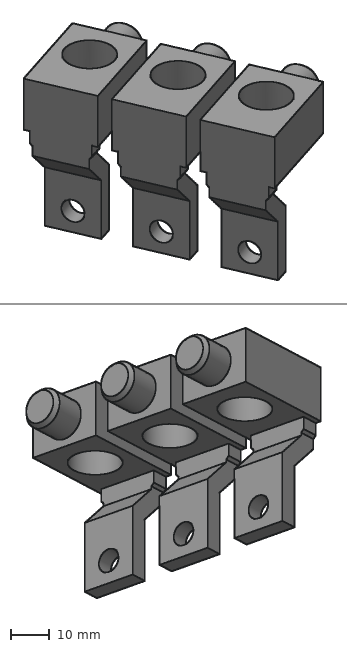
import cadquery as cq
import math

lug_count = 3
overall_width = 71.0
overall_depth = 40.5
overall_height = 47.8

block_width = 21.0
block_depth = 30.45
block_height = 15.4
lug_pitch = (overall_width - block_width) / (lug_count - 1)

wire_hole_diameter = 14.2
wire_hole_y = 18.0

screw_diameter = 11.1
screw_length = overall_depth - block_depth
screw_chamfer_length = 1.35
screw_chamfer_radial = 1.0

tang_thickness = 5.0
tang_width = 16.05
tang_offset = 7.6
tang_length = overall_height - block_height
crank_angle = 45.0
crank_start = 7.2
shoulder_width = 17.6
shoulder_height = 3.5
shoulder_taper_height = 0.85
bolt_hole_diameter = 6.5
bolt_hole_above_end = 6.45


def make_block():
    return cq.Workplane("XY").box(
        block_width, block_depth, block_height, centered=(True, False, False)
    )


def make_screw():
    """Round stub along +Y with a chamfered free end."""
    radius = screw_diameter / 2
    profile = [
        (0, 0),
        (radius, 0),
        (radius, screw_length - screw_chamfer_length),
        (radius - screw_chamfer_radial, screw_length),
        (0, screw_length),
    ]
    screw = cq.Workplane("XY").polyline(profile).close().revolve(360, (0, 0, 0), (0, 1, 0))
    return screw.translate((0, block_depth, block_height / 2))


def make_tang():
    """Cranked strip: its bent side profile trimmed to the stepped front outline, with a bolt hole."""
    crank_drop = tang_offset / math.tan(math.radians(crank_angle))
    bend_shift = tang_thickness * math.tan(math.radians(crank_angle / 2))
    rear_crank_start = crank_start - bend_shift
    side_profile = [
        (0, 0),
        (0, -crank_start),
        (tang_offset, -crank_start - crank_drop),
        (tang_offset, -tang_length),
        (tang_offset + tang_thickness, -tang_length),
        (tang_offset + tang_thickness, -rear_crank_start - crank_drop),
        (tang_thickness, -rear_crank_start),
        (tang_thickness, 0),
    ]
    strip = cq.Workplane("YZ").polyline(side_profile).close().extrude(shoulder_width / 2, both=True)

    taper_end = shoulder_height + shoulder_taper_height
    right_edge = [
        (shoulder_width / 2, 0),
        (shoulder_width / 2, -shoulder_height),
        (tang_width / 2, -taper_end),
        (tang_width / 2, -tang_length),
    ]
    left_edge = [(-x, z) for x, z in reversed(right_edge)]
    outline = cq.Workplane("XZ").polyline(right_edge + left_edge).close().extrude(-block_depth)

    bolt_hole = (
        cq.Workplane("XZ")
        .center(0, bolt_hole_above_end - tang_length)
        .circle(bolt_hole_diameter / 2)
        .extrude(-block_depth)
    )
    return strip.intersect(outline).cut(bolt_hole)


def make_lug():
    """One solid: block, screw and tang, with the wire hole through the block only."""
    wire_hole = (
        cq.Workplane("XY")
        .center(0, wire_hole_y)
        .circle(wire_hole_diameter / 2)
        .extrude(block_height)
    )
    return make_block().cut(wire_hole).union(make_screw()).union(make_tang())


lugs = []
for index in range(lug_count):
    lug_x = (index - (lug_count - 1) / 2) * lug_pitch
    lugs.append(make_lug().translate((lug_x, 0, 0)).solids().val())

result = cq.Compound.makeCompound(lugs)